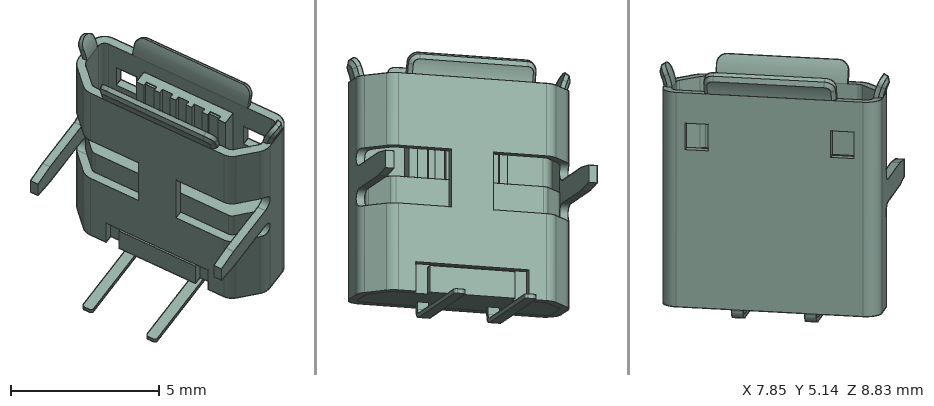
import cadquery as cq
import math

shell_width = 7.505
shell_depth = 2.455
shell_height = 7.505
wall = 0.3
bend_radius = 0.55
front_bevel = 0.91
half_width = shell_width / 2
half_depth = shell_depth / 2

lip_height = 0.76
lip_start_angle = 9.0
lip_end_angle = 32.0
lip_chamfer = 0.13
long_lip_width = 4.52
long_lip_corner = 0.35
short_lip_width = 0.7
short_lip_corner = 0.34
short_lip_y = 0.28

window_bottom = 3.0
window_height = 1.995
window_edge_y = -0.1
window_middle = window_bottom + window_height / 2
front_rib_width = 1.48

leg_height = 0.795
leg_tip_height = 0.6
leg_taper_y = -2.48
leg_tip_y = -3.28
leg_root_y = 0.08
slot_height = (window_height - leg_height) / 2
slot_offset = (window_height - slot_height) / 2

notch_width = 4.01
notch_height = 1.015
tab_width = 3.0
tab_height = 0.92

latch_hole_inner_x = 2.1
latch_hole_outer_x = 2.9
latch_hole_bottom = 5.52
latch_hole_top = 6.45

base_height = window_middle
tongue_width = 3.5
tongue_back_y = 0.83
tongue_front_y = 0.33
tongue_top = 7.03
contact_count = 5
contact_pitch = 0.63
contact_width = 0.4
outer_contact_x = contact_pitch * (contact_count - 1) / 2
groove_y = 0.495
contact_thickness = 0.08
contact_drop = 0.03

pin_thickness = 0.15
pin_drop = 0.565
pin_inner_radius = 0.16
pin_back_y = 0.47
pin_tip_y = -3.735
pin_tip_radius = 0.1


def box(x_range, y_range, z_range):
    """Box between the two limits given for each axis."""
    lows, highs = zip(x_range, y_range, z_range)
    sizes = [high - low for low, high in zip(lows, highs)]
    return cq.Workplane("XY").box(*sizes, centered=False).translate(lows)


def centred(width, middle=0):
    """Limits of a span of the given width about a middle."""
    return (middle - width / 2, middle + width / 2)


def mirrored_pair(body):
    """The body and its mirror image on the other side of the YZ plane."""
    return [body, body.mirror("YZ")]


def shell_prism(inset, height):
    """Solid with the outline of the shell, set in by a distance on all sides."""
    x = half_width - inset
    y = half_depth - inset
    bevel = front_bevel - inset * (2 - math.sqrt(2))
    outline = [(x, y), (-x, y), (-x, -y + bevel), (-x + bevel, -y), (x - bevel, -y), (x, -y + bevel)]
    prism = cq.Workplane("XY").polyline(outline).close().extrude(height)
    return prism.edges("|Z").fillet(bend_radius - inset)


def lip(width, corner):
    """Lip that leans toward +X, with the outer face of its wall at X = 0 and its root at Z = 0."""
    start = math.radians(lip_start_angle)
    end = math.radians(lip_end_angle)
    inner_radius = lip_height / (math.sin(end) - math.sin(start))
    outer_radius = inner_radius - wall
    centre_x = inner_radius * math.cos(start) - wall
    centre_z = -inner_radius * math.sin(start)
    outer_start = math.asin(-centre_z / outer_radius)

    def arc_point(radius, angle):
        return (centre_x - radius * math.cos(angle), centre_z + radius * math.sin(angle))

    inner_middle = arc_point(inner_radius, (start + end) / 2)
    outer_middle = arc_point(outer_radius, (outer_start + end) / 2)
    sheet = (
        cq.Workplane("XZ")
        .moveTo(*arc_point(inner_radius, start))
        .threePointArc(inner_middle, arc_point(inner_radius, end))
        .lineTo(*arc_point(outer_radius, end))
        .threePointArc(outer_middle, arc_point(outer_radius, outer_start))
        .close()
        .extrude(width / 2, both=True)
    )
    tip_x, tip_z = arc_point((inner_radius + outer_radius) / 2, end)
    for y in centred(width):
        sheet = sheet.edges(cq.selectors.NearestToPointSelector((tip_x, y, tip_z))).fillet(corner)
    outer_point = (outer_middle[0], 0, outer_middle[1])
    outer_face = sheet.faces(cq.selectors.NearestToPointSelector(outer_point))
    return outer_face.edges("not(<Z)").chamfer(lip_chamfer)


def lips():
    long_lip = lip(long_lip_width, long_lip_corner)
    short_lip = lip(short_lip_width, short_lip_corner)
    front_back = [
        long_lip.translate((half_depth, 0, shell_height)).rotate((0, 0, 0), (0, 0, 1), angle)
        for angle in (90, -90)
    ]
    sides = mirrored_pair(short_lip.translate((half_width, short_lip_y, shell_height)))
    return front_back + sides


def slots():
    """Cutters for the round-ended slots above and below the leg on the +X side.

    They run from the side wall round the front corner to the rib in the front wall.
    """
    slot_length = 2 * half_depth
    slot_centre_y = window_edge_y - slot_length / 2
    return [
        cq.Workplane("YZ", origin=(front_rib_width / 2, slot_centre_y, window_middle + offset))
        .slot2D(slot_length, slot_height)
        .extrude(half_width)
        for offset in (-slot_offset, slot_offset)
    ]


def space_between_slots():
    """Cutter that joins the two slots on the +X side, leaving only the plane of the leg."""
    return box(
        (front_rib_width / 2, half_width - wall),
        (-half_depth, window_edge_y),
        centred(2 * slot_offset, window_middle),
    )


def leg():
    """Leg in the plane of the +X side wall, with a tapered tip.

    The root fills the height between the middles of the two slots, which later round it off.
    """
    half = leg_height / 2
    half_tip = leg_tip_height / 2
    outline = [
        (leg_root_y, slot_offset),
        (window_edge_y - slot_height / 2, slot_offset),
        (window_edge_y - slot_height / 2, half),
        (leg_taper_y, half),
        (leg_tip_y, half_tip),
        (leg_tip_y, -half_tip),
        (leg_taper_y, -half),
        (window_edge_y - slot_height / 2, -half),
        (window_edge_y - slot_height / 2, -slot_offset),
        (leg_root_y, -slot_offset),
    ]
    blade = cq.Workplane("YZ").polyline(outline).close().extrude(wall)
    return blade.translate((half_width - wall, 0, window_middle))


def latch_hole():
    """Cutter for the hole in the back wall on the +X side."""
    return box(
        (latch_hole_inner_x, latch_hole_outer_x),
        (0, half_depth),
        (latch_hole_bottom, latch_hole_top),
    )


def make_shell():
    shell = shell_prism(0, shell_height).cut(shell_prism(wall, shell_height))
    notch = box(centred(notch_width), (-half_depth, -half_depth + wall), (0, notch_height))
    shell = shell.cut(notch)
    for cutter in mirrored_pair(latch_hole()) + mirrored_pair(space_between_slots()):
        shell = shell.cut(cutter)
    for part in mirrored_pair(leg()) + lips():
        shell = shell.union(part)
    for slot in slots():
        for cutter in mirrored_pair(slot):
            shell = shell.cut(cutter)
    return shell


def tongue():
    """Tongue standing on the base, with a groove for each contact in its front face."""
    span_z = (base_height, tongue_top)
    body = box(centred(tongue_width), (tongue_front_y, tongue_back_y), span_z)
    for index in range(contact_count):
        groove_x = index * contact_pitch - outer_contact_x
        body = body.cut(box(centred(contact_width, groove_x), (tongue_front_y, groove_y), span_z))
    return body


def contact(x):
    """Strip against the back of a groove, ending just below the top of the tongue."""
    return box(
        centred(contact_width, x),
        (groove_y - contact_thickness, groove_y),
        (base_height, tongue_top - contact_drop),
    )


def pin(x):
    """L-shaped pin that drops from the base and turns forward."""
    span_x = centred(contact_width, x)
    blank = box(span_x, (pin_tip_y, pin_back_y), (-pin_drop, 0))
    blank = blank.edges("|X and >Y and <Z").fillet(pin_inner_radius + pin_thickness)
    space = box(span_x, (pin_tip_y, pin_back_y - pin_thickness), (pin_thickness - pin_drop, 0))
    space = space.edges("|X and >Y and <Z").fillet(pin_inner_radius)
    return blank.cut(space).edges("|Z and <Y").fillet(pin_tip_radius)


def make_housing():
    housing = shell_prism(wall, base_height).union(tongue())
    tab = box(centred(tab_width), (-half_depth, 0), (0, tab_height))
    housing = housing.union(tab)
    for x in (-outer_contact_x, outer_contact_x):
        housing = housing.union(contact(x)).union(pin(x))
    return housing


shell = make_shell()
housing = make_housing()
result = cq.Compound.makeCompound([*shell.vals(), *housing.vals()])